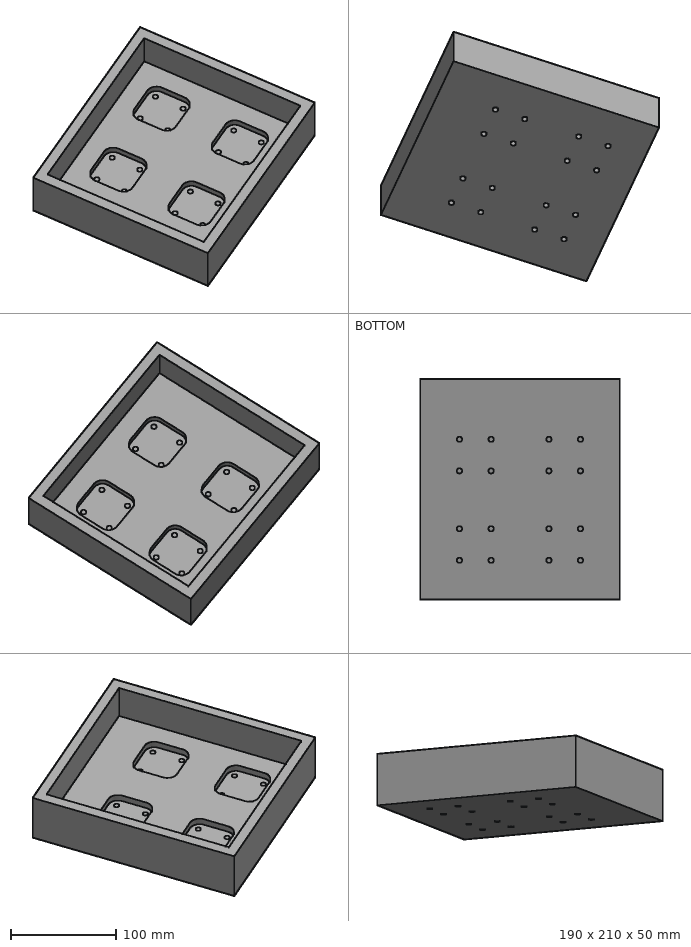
import cadquery as cq

width = 190.0
length = 210.0
height = 50.0
wall = 10.0
floor_thickness = 15.0

pocket_size = 45.0
pocket_corner_radius = 10.0
pocket_depth = 7.0
pocket_pitch = 85.0
pocket_back_margin = 30.0

hole_diameter = 5.0
hole_pitch = 30.0
hole_roof = 0.5

pocket_grid_y = length / 2 - pocket_back_margin - pocket_size / 2 - pocket_pitch / 2
pocket_floor_z = floor_thickness - pocket_depth


def square_grid(pitch):
    """Centres of a two-by-two grid around the origin."""
    half = pitch / 2
    return [(x, y) for x in (-half, half) for y in (-half, half)]


def make_tray():
    """Open box with a flat floor, centred in X and Y, with its base at Z = 0."""
    block = cq.Workplane("XY").box(width, length, height, centered=(True, True, False))
    cavity = (
        cq.Workplane("XY", origin=(0, 0, floor_thickness))
        .rect(width - 2 * wall, length - 2 * wall)
        .extrude(height - floor_thickness)
    )
    return block.cut(cavity)


def make_pocket_cutter():
    """One rounded pocket with a blind hole rising from the underside near each corner."""
    pocket = (
        cq.Workplane("XY", origin=(0, 0, pocket_floor_z))
        .rect(pocket_size, pocket_size)
        .extrude(pocket_depth)
        .edges("|Z")
        .fillet(pocket_corner_radius)
    )
    holes = (
        cq.Workplane("XY")
        .pushPoints(square_grid(hole_pitch))
        .circle(hole_diameter / 2)
        .extrude(pocket_floor_z - hole_roof)
    )
    return pocket.add(holes).combine()


result = make_tray()
pocket_cutter = make_pocket_cutter()
for x, y in square_grid(pocket_pitch):
    result = result.cut(pocket_cutter.translate((x, y + pocket_grid_y, 0)))